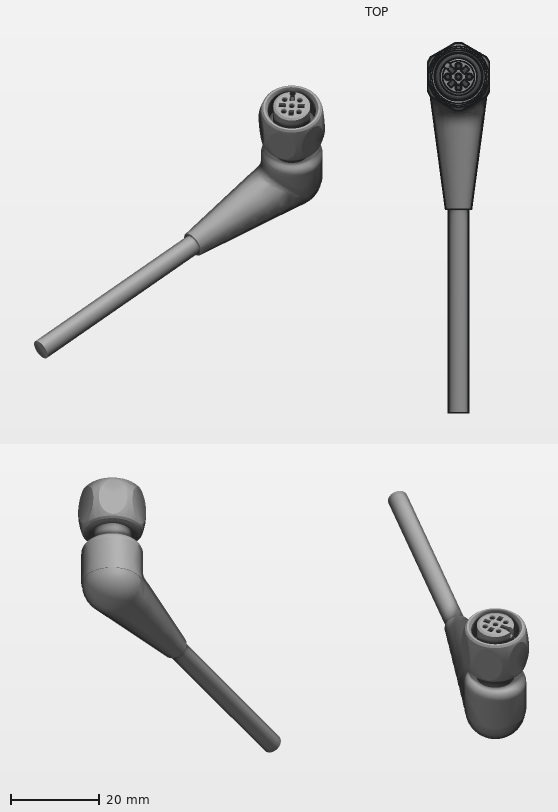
import cadquery as cq
import math


BODY_R = 14.0 / 2
BODY_TOP = 10.0
BODY_ROUND = 2.0
ELBOW_R = 6.9
STRAIN_END = 29.95
STRAIN_END_R = 2.9
NECK_BLEND = 1.8

CABLE_R = 4.6 / 2
OVERALL_LENGTH = 83.7

NUT_FLATS = 14.0
NUT_BOTTOM = 13.55
NUT_TOP = 24.4
NUT_CHAMFER = 0.4
NUT_BULGE_R = 7.7
NUT_SHOULDER_R = 6.9
BORE_R = 11.0 / 2
BORE_FLOOR = 18.4
LEAD_IN_R = 6.0
LEAD_IN_DEPTH = 0.75

NECK_R = 8.7 / 2
INSERT_R = 4.2
INSERT_TOP = 25.3
INSERT_BEVEL_WIDTH = 0.6
INSERT_BEVEL_HEIGHT = 0.25

SEAL_R = 0.7
SEAL_RING_R = 4.6

CONTACT_R = 1.2 / 2
CONTACT_MOUTH_R = 0.75
CONTACT_PITCH_R = 2.4
SLOT_INNER = 1.3
SLOT_OUTER = 2.9
SLOT_WIDTH = 1.2
KEY_R = 0.75
KEY_PITCH_R = 3.6
KEY_ANGLE = 135
FACE_DEPTH = 2.1


def cylinder(radius, bottom, top):
    return cq.Workplane("XY").workplane(offset=bottom).circle(radius).extrude(top - bottom)


def make_elbow():
    """Vertical barrel on a domed base, with a cone tangent to the dome, blended at the inner corner."""
    reach = math.hypot(STRAIN_END, STRAIN_END_R)
    half_angle = math.asin(ELBOW_R / reach) - math.atan2(STRAIN_END_R, STRAIN_END)
    tangent_y = -ELBOW_R * math.sin(half_angle)
    tangent_r = ELBOW_R * math.cos(half_angle)
    cone = (
        cq.Workplane("XY")
        .moveTo(0, tangent_y)
        .lineTo(tangent_r, tangent_y)
        .lineTo(STRAIN_END_R, -STRAIN_END)
        .lineTo(0, -STRAIN_END)
        .close()
        .revolve(360, (0, 0, 0), (0, 1, 0))
    )
    joined = cylinder(BODY_R, -BODY_TOP, BODY_TOP).union(cone)
    margin = 0.8
    corner = cq.selectors.BoxSelector(
        (-BODY_R, -BODY_R - margin, margin - BODY_TOP), (BODY_R, tangent_y, BODY_TOP - margin)
    )
    joined = joined.edges(corner).fillet(NECK_BLEND)
    joined = joined.faces(">Z").edges().fillet(BODY_ROUND)
    upper = joined.intersect(cq.Workplane("XY").box(
        OVERALL_LENGTH, OVERALL_LENGTH, BODY_TOP, centered=(True, True, False)
    ))
    dome = cq.Workplane("XY").sphere(ELBOW_R)
    return upper.union(cone).union(dome)


def make_cable():
    cable_end = OVERALL_LENGTH - NUT_BULGE_R
    return cq.Workplane("XZ").circle(CABLE_R).extrude(cable_end)


def make_nut():
    """Barrel-shaped nut with six flats, bored from the top."""
    middle = (NUT_BOTTOM + NUT_TOP) / 2
    rim_r = NUT_SHOULDER_R - NUT_CHAMFER
    barrel = (
        cq.Workplane("XZ")
        .moveTo(0, NUT_BOTTOM)
        .lineTo(rim_r, NUT_BOTTOM)
        .lineTo(NUT_SHOULDER_R, NUT_BOTTOM + NUT_CHAMFER)
        .threePointArc((NUT_BULGE_R, middle), (NUT_SHOULDER_R, NUT_TOP - NUT_CHAMFER))
        .lineTo(rim_r, NUT_TOP)
        .lineTo(0, NUT_TOP)
        .close()
        .revolve(360, (0, 0, 0), (0, 1, 0))
    )
    hexagon = (
        cq.Workplane("XY")
        .workplane(offset=NUT_BOTTOM)
        .polygon(6, NUT_FLATS, circumscribed=True)
        .extrude(NUT_TOP - NUT_BOTTOM)
    )
    bore = (
        cq.Workplane("XZ")
        .moveTo(0, BORE_FLOOR)
        .lineTo(BORE_R, BORE_FLOOR)
        .lineTo(BORE_R, NUT_TOP - LEAD_IN_DEPTH)
        .lineTo(LEAD_IN_R, NUT_TOP)
        .lineTo(0, NUT_TOP)
        .close()
        .revolve(360, (0, 0, 0), (0, 1, 0))
    )
    return barrel.intersect(hexagon).cut(bore)


def make_seal():
    """Ring around the insert, sunk halfway into the bore floor."""
    return (
        cq.Workplane("XZ")
        .center(SEAL_RING_R, BORE_FLOOR)
        .circle(SEAL_R)
        .revolve(360, (-SEAL_RING_R, 0, 0), (-SEAL_RING_R, 1, 0))
    )


def make_insert():
    """Contact carrier with five sockets, four radial slots and a coding notch in its rim."""
    insert = (
        cq.Workplane("XZ")
        .moveTo(0, BORE_FLOOR)
        .lineTo(INSERT_R, BORE_FLOOR)
        .lineTo(INSERT_R, INSERT_TOP - INSERT_BEVEL_HEIGHT)
        .lineTo(INSERT_R - INSERT_BEVEL_WIDTH, INSERT_TOP)
        .lineTo(0, INSERT_TOP)
        .close()
        .revolve(360, (0, 0, 0), (0, 1, 0))
    )
    floor = INSERT_TOP - FACE_DEPTH

    flare = CONTACT_MOUTH_R - CONTACT_R
    socket = (
        cq.Workplane("XZ")
        .moveTo(0, floor)
        .lineTo(CONTACT_R, floor)
        .lineTo(CONTACT_R, INSERT_TOP - flare)
        .lineTo(CONTACT_MOUTH_R, INSERT_TOP)
        .lineTo(0, INSERT_TOP)
        .close()
        .revolve(360, (0, 0, 0), (0, 1, 0))
    )
    insert = insert.cut(socket)
    slot = (
        cq.Workplane("XY")
        .workplane(offset=floor)
        .center((SLOT_INNER + SLOT_OUTER) / 2, 0)
        .rect(SLOT_OUTER - SLOT_INNER, SLOT_WIDTH)
        .extrude(FACE_DEPTH)
    )
    for angle in range(0, 360, 90):
        outer_socket = socket.translate((CONTACT_PITCH_R, 0, 0))
        insert = insert.cut(outer_socket.rotate((0, 0, 0), (0, 0, 1), angle))
        insert = insert.cut(slot.rotate((0, 0, 0), (0, 0, 1), angle + 45))

    key = cylinder(KEY_R, floor, INSERT_TOP).translate((KEY_PITCH_R, 0, 0))
    return insert.cut(key.rotate((0, 0, 0), (0, 0, 1), KEY_ANGLE))


neck = cylinder(NECK_R, BODY_TOP, NUT_BOTTOM)
result = (
    make_elbow()
    .union(make_cable())
    .union(neck)
    .union(make_nut())
    .union(make_seal())
    .union(make_insert())
)